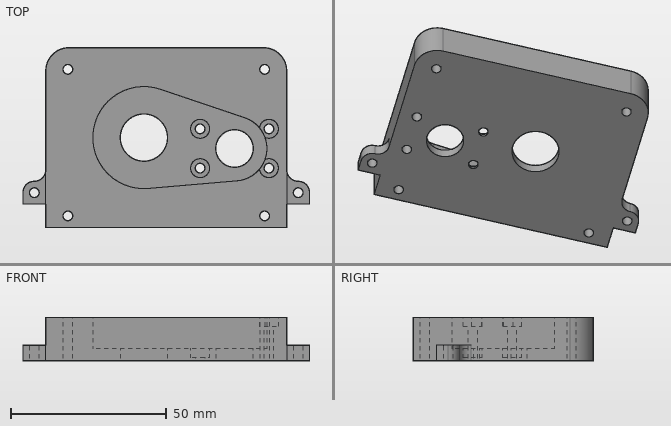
import cadquery as cq
import math

body_width = 77.7
body_depth = 58.0
body_height = 14.0
corner_radius = 7.6

overall_width = 92.4
ear_front = 7.6
ear_radius = 3.7
ear_height = 5.1
ear_hole_x = 42.5

pocket_depth = 10.1
large_center = (-7.2, 29.0)
large_radius = 16.4
large_hole_diameter = 15.15
small_center = (22.0, 25.5)
small_radius = 10.4
small_hole_diameter = 12.0

screw_diameter = 3.05
corner_hole_x = 31.7
corner_hole_front = 3.8
corner_hole_rear = 51.0
bore_diameter = 6.1
bore_depth = 3.0
bore_spacing_x = 22.2
bore_spacing_y = 12.7

floor_height = body_height - pocket_depth
half_width = body_width / 2
half_overall = overall_width / 2


def cylinder(center, diameter, bottom, height):
    return cq.Workplane("XY", origin=(*center, bottom)).circle(diameter / 2).extrude(height)


def through_hole(center, diameter):
    return cylinder(center, diameter, 0, body_height)


def make_block():
    return (
        cq.Workplane("XY")
        .box(body_width, body_depth, body_height, centered=(True, False, False))
        .edges("|Z and >Y")
        .fillet(corner_radius)
    )


def make_ear():
    """Right-hand ear: rounded outer corner, then a concave fillet into the block."""
    ear_rear = ear_front + 2 * ear_radius
    outer_arc_x = half_overall - ear_radius
    fillet_radius = outer_arc_x - half_width
    reach = math.sqrt(0.5)
    return (
        cq.Workplane("XY")
        .moveTo(0, ear_front)
        .lineTo(half_overall, ear_front)
        .lineTo(half_overall, ear_front + ear_radius)
        .threePointArc(
            (outer_arc_x + ear_radius * reach, ear_rear - ear_radius * (1 - reach)),
            (outer_arc_x, ear_rear),
        )
        .threePointArc(
            (outer_arc_x - fillet_radius * reach, ear_rear + fillet_radius * (1 - reach)),
            (half_width, ear_rear + fillet_radius),
        )
        .lineTo(0, ear_rear + fillet_radius)
        .close()
        .extrude(ear_height)
    )


def make_pocket():
    """Two discs joined by their common outer tangents."""
    dx = small_center[0] - large_center[0]
    dy = small_center[1] - large_center[1]
    axis_angle = math.atan2(dy, dx)
    tangent_angle = math.acos((large_radius - small_radius) / math.hypot(dx, dy))

    def rim_point(center, radius, angle):
        return (center[0] + radius * math.cos(angle), center[1] + radius * math.sin(angle))

    upper = axis_angle + tangent_angle
    lower = axis_angle - tangent_angle
    return (
        cq.Workplane("XY", origin=(0, 0, floor_height))
        .moveTo(*rim_point(large_center, large_radius, upper))
        .threePointArc(
            rim_point(large_center, large_radius, axis_angle + math.pi),
            rim_point(large_center, large_radius, lower),
        )
        .lineTo(*rim_point(small_center, small_radius, lower))
        .threePointArc(
            rim_point(small_center, small_radius, axis_angle),
            rim_point(small_center, small_radius, upper),
        )
        .close()
        .extrude(pocket_depth)
    )


ear = make_ear()
result = make_block().union(ear).union(ear.mirror("YZ")).cut(make_pocket())

result = result.cut(through_hole(large_center, large_hole_diameter))
result = result.cut(through_hole(small_center, small_hole_diameter))

for side in (-1, 1):
    for hole_y in (corner_hole_front, corner_hole_rear):
        result = result.cut(through_hole((side * corner_hole_x, hole_y), screw_diameter))
    ear_hole_center = (side * ear_hole_x, ear_front + ear_radius)
    result = result.cut(through_hole(ear_hole_center, screw_diameter))

for side, seat_height in ((-1, floor_height), (1, body_height)):
    for row in (-1, 1):
        center = (
            small_center[0] + side * bore_spacing_x / 2,
            small_center[1] + row * bore_spacing_y / 2,
        )
        result = result.cut(through_hole(center, screw_diameter))
        result = result.cut(cylinder(center, bore_diameter, seat_height - bore_depth, bore_depth))